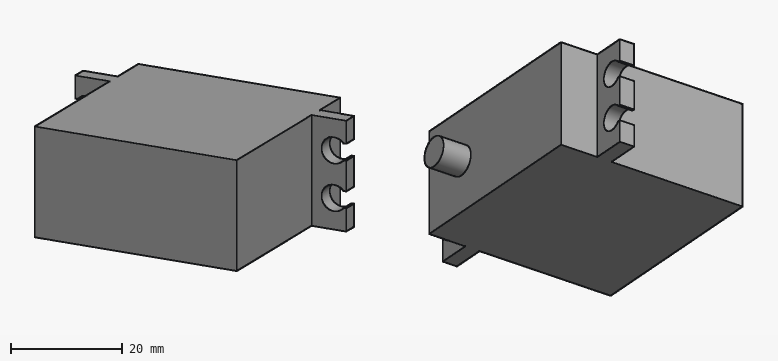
import cadquery as cq

body_width = 41.0
body_depth = 40.0
body_height = 21.0

flange_width = 55.0
flange_setback = 8.0
flange_thickness = 3.15

hole_diameter = 5.0
hole_pitch = 9.0
hole_edge_distance = 2.5
slot_width = 3.2

shaft_diameter = 6.0
shaft_length = 6.0
shaft_offset = 10.5


def make_body():
    return cq.Workplane("XY").box(body_width, body_depth, body_height).translate((0, -body_depth / 2, 0))


def make_flange():
    """Flat bar with a pair of open screw holes at each end."""
    flange = cq.Workplane("XZ").rect(flange_width, body_height).extrude(flange_thickness)
    hole_x = flange_width / 2 - hole_edge_distance
    for side in (-1, 1):
        for level in (-1, 1):
            hole_z = level * hole_pitch / 2
            hole = (
                cq.Workplane("XZ")
                .center(side * hole_x, hole_z)
                .circle(hole_diameter / 2)
                .extrude(flange_thickness)
            )
            slot = (
                cq.Workplane("XZ")
                .center(side * (hole_x + hole_edge_distance / 2), hole_z)
                .rect(hole_edge_distance, slot_width)
                .extrude(flange_thickness)
            )
            flange = flange.cut(hole).cut(slot)
    return flange.translate((0, -flange_setback, 0))


def make_shaft():
    return cq.Workplane("XZ").center(shaft_offset, 0).circle(shaft_diameter / 2).extrude(-shaft_length)


result = make_body().union(make_flange()).union(make_shaft())